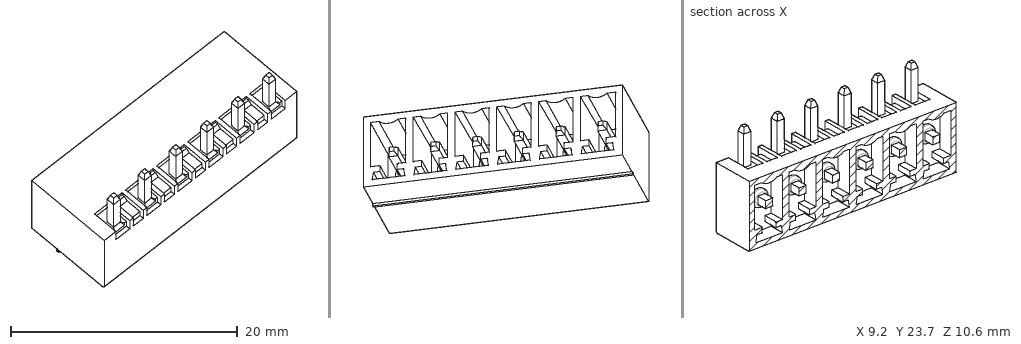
import cadquery as cq


body_length = 9.2
body_width = 23.61
body_height = 7.0
back_edge_radius = 0.24

way_count = 6
pitch = 3.8
first_way_y = (body_width - (way_count - 1) * pitch) / 2
way_centers = [first_way_y + i * pitch for i in range(way_count)]

cavity_depth = 6.15
cavity_top_z = body_height - 0.65
cavity_floor_z = 0.65
rail_top_z = 1.95
rail_bottom_z = 1.35
mouth_half_width = 1.55
back_half_width = 1.5
end_wall_half_width = 1.65
rail_gap_half_width = 0.78
dovetail_top_half_width = 1.37
dovetail_floor_half_width = 1.5
key_radius = 1.4
key_drop = 0.3

pin_size = 0.83
pin_tip_size = 0.43
pin_tip_length = 0.57
pin_axis_z = 4.05
pin_front_x = 1.11
pin_post_x = 8.05
pin_top_z = 10.4
collar_diameter = 1.8
collar_length = 0.47
collar_edge_radius = 0.24

pocket_front_x = 6.5
back_slot_x = 8.78
back_slot_depth = 1.18
pin_pocket_width = 1.7
pin_pocket_depth = 0.5
ramp_drop = 0.33
ramp_back_width = 1.25
gap_pocket_width = 1.2
gap_shelf_depth = 0.28
gap_shelf_end_x = 6.8
gap_floor_depth = 0.6
gap_floor_start_x = 7.15

rib_front_x = 3.22
rib_tip_width = 0.24
rib_base_width = 0.4
rib_height = 0.24
rib_overhang = 0.05


def extruded_along_y(points, start_y, width):
    """Extrude an X-Z outline by width in +Y, starting at start_y."""
    return cq.Workplane("XZ", origin=(0, start_y, 0)).polyline(points).close().extrude(-width)


def housing():
    block = cq.Workplane("XY").box(body_length, body_width, body_height, centered=False)
    return block.edges(">X and <Z").fillet(back_edge_radius)


def cavity(center_y, is_first, is_last):
    """Space for one plug: a keyed, tapered chamber over a dovetail slot between two rails."""
    low_front, low_back = -mouth_half_width, -back_half_width
    high_front, high_back = mouth_half_width, back_half_width
    if is_first:
        low_front = low_back = -end_wall_half_width
    if is_last:
        high_front = high_back = end_wall_half_width
    chamber = (
        cq.Workplane("XY", origin=(0, center_y, rail_top_z))
        .polyline([(0, low_front), (0, high_front), (cavity_depth, high_back), (cavity_depth, low_back)])
        .close()
        .extrude(cavity_top_z - rail_top_z)
    )
    key = (
        cq.Workplane("YZ", origin=(0, center_y, cavity_top_z - key_drop + key_radius))
        .circle(key_radius)
        .extrude(cavity_depth)
    )
    slot = (
        cq.Workplane("YZ", origin=(0, center_y, 0))
        .polyline([
            (-rail_gap_half_width, rail_top_z),
            (-rail_gap_half_width, rail_bottom_z),
            (-dovetail_top_half_width, rail_bottom_z),
            (-dovetail_floor_half_width, cavity_floor_z),
            (dovetail_floor_half_width, cavity_floor_z),
            (dovetail_top_half_width, rail_bottom_z),
            (rail_gap_half_width, rail_bottom_z),
            (rail_gap_half_width, rail_top_z),
        ])
        .close()
        .extrude(cavity_depth)
    )
    return chamber.cut(key).union(slot)


def pin_pocket(center_y):
    """Pocket around a pin post, with a flared ramp down into the slot at the back."""
    floor_z = body_height - pin_pocket_depth
    slot_z = body_height - back_slot_depth
    pocket = extruded_along_y(
        [
            (pocket_front_x, body_height),
            (pocket_front_x, floor_z),
            (back_slot_x, floor_z),
            (back_slot_x, slot_z),
            (body_length, slot_z),
            (body_length, body_height),
        ],
        center_y - pin_pocket_width / 2,
        pin_pocket_width,
    )
    ramp_start_x = pin_post_x + pin_size / 2
    ramp_profile = extruded_along_y(
        [(ramp_start_x, floor_z), (back_slot_x, floor_z), (back_slot_x, floor_z - ramp_drop)],
        center_y - ramp_back_width / 2,
        ramp_back_width,
    )
    ramp_plan = (
        cq.Workplane("XY", origin=(0, center_y, floor_z - ramp_drop))
        .polyline([
            (ramp_start_x, -pin_size / 2),
            (back_slot_x, -ramp_back_width / 2),
            (back_slot_x, ramp_back_width / 2),
            (ramp_start_x, pin_size / 2),
        ])
        .close()
        .extrude(ramp_drop)
    )
    return pocket.union(ramp_profile.intersect(ramp_plan))


def gap_pocket(center_y):
    """Pocket between two pins: a shelf, a slope to the floor and a slot at the back."""
    shelf_z = body_height - gap_shelf_depth
    floor_z = body_height - gap_floor_depth
    slot_z = body_height - back_slot_depth
    return extruded_along_y(
        [
            (pocket_front_x, body_height),
            (pocket_front_x, shelf_z),
            (gap_shelf_end_x, shelf_z),
            (gap_floor_start_x, floor_z),
            (back_slot_x, floor_z),
            (back_slot_x, slot_z),
            (body_length, slot_z),
            (body_length, body_height),
        ],
        center_y - gap_pocket_width / 2,
        gap_pocket_width,
    )


def tapered_bar(plane, length):
    """Square bar along the plane normal, ending in a blunt pyramid tip."""
    shank_length = length - pin_tip_length
    shank = cq.Workplane(plane).rect(pin_size, pin_size).extrude(shank_length)
    tip = (
        cq.Workplane(plane)
        .workplane(offset=shank_length)
        .rect(pin_size, pin_size)
        .workplane(offset=pin_tip_length)
        .rect(pin_tip_size, pin_tip_size)
        .loft(ruled=True)
    )
    return shank.union(tip)


def pin(center_y):
    """Right-angle pin: contact toward the mating face, post pointing up."""
    elbow_x = pin_post_x + pin_size / 2
    elbow_z = pin_axis_z - pin_size / 2
    contact_plane = cq.Plane(origin=(elbow_x, center_y, pin_axis_z), xDir=(0, 1, 0), normal=(-1, 0, 0))
    post_plane = cq.Plane(origin=(pin_post_x, center_y, elbow_z))
    contact = tapered_bar(contact_plane, elbow_x - pin_front_x)
    post = tapered_bar(post_plane, pin_top_z - elbow_z)
    return contact.union(post)


def collar(center_y):
    """Rounded collar on the cavity back wall around the contact."""
    return (
        cq.Workplane("YZ", origin=(cavity_depth - collar_length, center_y, pin_axis_z))
        .circle(collar_diameter / 2)
        .extrude(collar_length)
        .faces("<X")
        .edges()
        .fillet(collar_edge_radius)
    )


def latch_rib():
    return extruded_along_y(
        [
            (rib_front_x, 0),
            (rib_front_x, -rib_height),
            (rib_front_x + rib_tip_width, -rib_height),
            (rib_front_x + rib_base_width, 0),
        ],
        -rib_overhang,
        body_width + rib_overhang,
    )


result = housing().union(latch_rib())

for index, y in enumerate(way_centers):
    result = result.cut(cavity(y, index == 0, index == way_count - 1))
    result = result.cut(pin_pocket(y))

for y in way_centers[:-1]:
    result = result.cut(gap_pocket(y + pitch / 2))

for y in way_centers:
    result = result.union(collar(y)).union(pin(y))